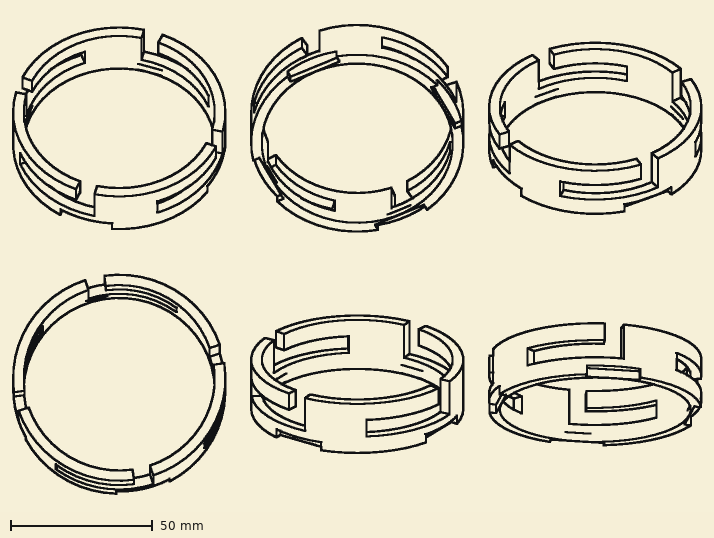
import cadquery as cq
import math

outer_diameter = 74.9
inner_diameter = 67.35
height = 19.1
outer_radius = outer_diameter / 2

slot_bottom = height / 3
slot_top = 2 * height / 3

cut_count = 4
cut_pitch = 360 / cut_count
gap_half_angle = 5.3
slot_end_angle = 50.2

notch_width = 19.2
skin_thickness = 0.1
notch_back_distance = inner_diameter / 2 + skin_thickness
notch_height = slot_bottom / 2

clearance = 3.75
cutter_radius = outer_radius + clearance


def polar(radius, angle):
    """Point at a radius and an angle in degrees, counterclockwise from +X."""
    radians = math.radians(angle)
    return (radius * math.cos(radians), radius * math.sin(radians))


def sector(start_angle, end_angle, bottom, top):
    """Pie-shaped solid around the ring axis between two heights."""
    middle_angle = (start_angle + end_angle) / 2
    return (
        cq.Workplane("XY", origin=(0, 0, bottom))
        .lineTo(*polar(cutter_radius, start_angle))
        .threePointArc(polar(cutter_radius, middle_angle), polar(cutter_radius, end_angle))
        .close()
        .extrude(top - bottom)
    )


def bayonet_cut(center_angle):
    """Rim gap, with a slot running clockwise from it as seen from above."""
    gap_start = center_angle - gap_half_angle
    gap_end = center_angle + gap_half_angle
    gap = sector(gap_start, gap_end, slot_bottom, height + clearance)
    slot = sector(center_angle - slot_end_angle, gap_end, slot_bottom, slot_top)
    return gap.union(slot)


def notch_cut(center_angle):
    """Block that notches the outside of the lower band, open at the bottom."""
    return (
        cq.Workplane("XY")
        .box(cutter_radius - notch_back_distance, notch_width, notch_height, centered=(False, True, False))
        .translate((notch_back_distance, 0, 0))
        .rotate((0, 0, 0), (0, 0, 1), center_angle)
    )


result = (
    cq.Workplane("XY")
    .circle(outer_radius)
    .circle(inner_diameter / 2)
    .extrude(height)
)
for index in range(cut_count):
    angle = index * cut_pitch
    result = result.cut(bayonet_cut(angle))
    result = result.cut(notch_cut(angle))